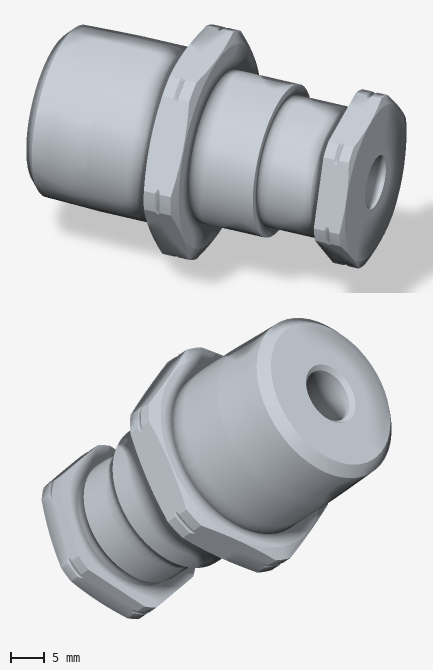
import cadquery as cq
import math

total_length = 50.9
thread_chamfer_length = 1.5
taper_end = 10.3
flange_start = 20.5
flange_end = 25.9
shoulder_end = 36.1
body_chamfer_start = 44.6
nut_cone_start = 45.9
nut_start = 46.45

thread_full_radius = 13.3
thread_taper_slope = 1 / 32
thread_start_radius = thread_full_radius - (taper_end - thread_chamfer_length) * thread_taper_slope
thread_end_radius = thread_start_radius - thread_chamfer_length
shoulder_radius = 11.6
body_radius = 10.0
neck_radius = 8.9
body_chamfer = body_radius - neck_radius
nut_cone_radius = 9.65

flange_across_flats = 31.5
flange_corner_radius = 17.315
flange_face_radius = 15.5
nut_across_flats = 24.0
nut_corner_radius = 13.2
nut_face_radius = 11.9
corners_to_y_rotation = 90.0
nut_rotation = 10.0
corner_chamfer_angle = 17.0

notch_radius = 0.38
notch_depth = 0.27
flange_notch_center = (flange_start + flange_end) / 2
nut_notch_center = 48.53

bore_radius = 4.1
bore_chamfer = 0.65


def revolve_about_x(points):
    """Revolve a closed (x, radius) outline about the X axis."""
    return cq.Workplane("XY").polyline(points).close().revolve(360, (0, 0, 0), (1, 0, 0))


def make_body():
    """Turned body: tapered thread, plain shank, shoulder, small end and nut neck."""
    return revolve_about_x([
        (0, 0),
        (0, thread_end_radius),
        (thread_chamfer_length, thread_start_radius),
        (taper_end, thread_full_radius),
        (flange_start, thread_full_radius),
        (flange_start, shoulder_radius),
        (shoulder_end, shoulder_radius),
        (shoulder_end, body_radius),
        (body_chamfer_start, body_radius),
        (body_chamfer_start + body_chamfer, neck_radius),
        (nut_cone_start, neck_radius),
        (nut_start, nut_cone_radius),
        (nut_start, 0),
    ])


def make_notch_ring(center, corner_radius):
    """Ring of round section that grooves only the corners of a hexagon."""
    ring_radius = corner_radius + notch_radius - notch_depth
    return (
        cq.Workplane("XY")
        .moveTo(center, ring_radius)
        .circle(notch_radius)
        .revolve(360, (0, 0, 0), (1, 0, 0))
    )


def make_hexagon(start, end, across_flats, corner_radius, face_radius, notch_center, chamfer_start):
    """Hexagon with corners on +Y and -Y, turned and notched at the corners.

    The end face is always chamfered; the start face only if chamfer_start is set.
    """
    chamfer_length = (corner_radius - face_radius) * math.tan(math.radians(corner_chamfer_angle))
    prism = (
        cq.Workplane("YZ", origin=(start, 0, 0))
        .polygon(6, across_flats, circumscribed=True)
        .extrude(end - start)
        .rotate((0, 0, 0), (1, 0, 0), corners_to_y_rotation)
    )
    if chamfer_start:
        start_outline = [(start, face_radius), (start + chamfer_length, corner_radius)]
    else:
        start_outline = [(start, corner_radius)]
    envelope = revolve_about_x(
        [(start, 0)]
        + start_outline
        + [(end - chamfer_length, corner_radius), (end, face_radius), (end, 0)]
    )
    return prism.intersect(envelope).cut(make_notch_ring(notch_center, corner_radius))


def make_bore():
    """Through bore with a chamfered mouth at the threaded end."""
    return revolve_about_x([
        (0, 0),
        (0, bore_radius + bore_chamfer),
        (bore_chamfer, bore_radius),
        (total_length, bore_radius),
        (total_length, 0),
    ])


flange = make_hexagon(
    flange_start,
    flange_end,
    flange_across_flats,
    flange_corner_radius,
    flange_face_radius,
    flange_notch_center,
    chamfer_start=True,
)
nut = make_hexagon(
    nut_start,
    total_length,
    nut_across_flats,
    nut_corner_radius,
    nut_face_radius,
    nut_notch_center,
    chamfer_start=False,
).rotate((0, 0, 0), (1, 0, 0), nut_rotation)

result = make_body().union(flange).union(nut).cut(make_bore())